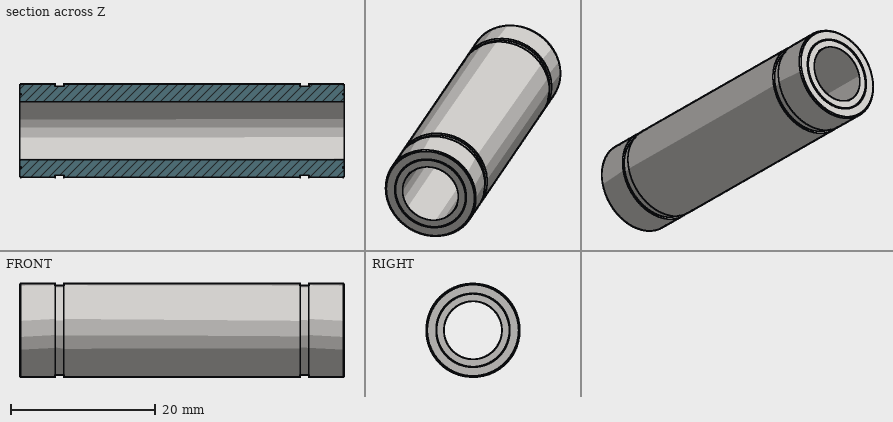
import cadquery as cq

length = 45.0
outer_diameter = 13.0
bore_diameter = 8.0
edge_chamfer = 0.2

ring_groove_diameter = 12.4
ring_groove_width = 1.2
ring_groove_offset = 4.9

seal_diameter = 10.1
seal_seat_diameter = 10.25
seal_gap_depth = 0.2


def tube(start_x, tube_length, outside, inside):
    """Tube along +X from start_x, given its two diameters."""
    return (
        cq.Workplane("YZ", origin=(start_x, 0, 0))
        .circle(outside / 2)
        .circle(inside / 2)
        .extrude(tube_length)
    )


def sleeve_body():
    """Plain sleeve with both outer end edges chamfered, then bored through."""
    cylinder = cq.Workplane("YZ", origin=(-length / 2, 0, 0)).circle(outer_diameter / 2).extrude(length)
    return cylinder.edges("%CIRCLE").chamfer(edge_chamfer).faces("<X").workplane().hole(bore_diameter)


def left_end_cuts():
    """Retaining-ring groove and seal gap at the -X end."""
    end_x = -length / 2
    cutter_diameter = outer_diameter + 2 * edge_chamfer
    ring_groove = tube(end_x + ring_groove_offset, ring_groove_width, cutter_diameter, ring_groove_diameter)
    seal_gap = tube(end_x, seal_gap_depth, seal_seat_diameter, seal_diameter)
    return ring_groove, seal_gap


result = sleeve_body()
for cut in left_end_cuts():
    result = result.cut(cut).cut(cut.mirror("YZ"))